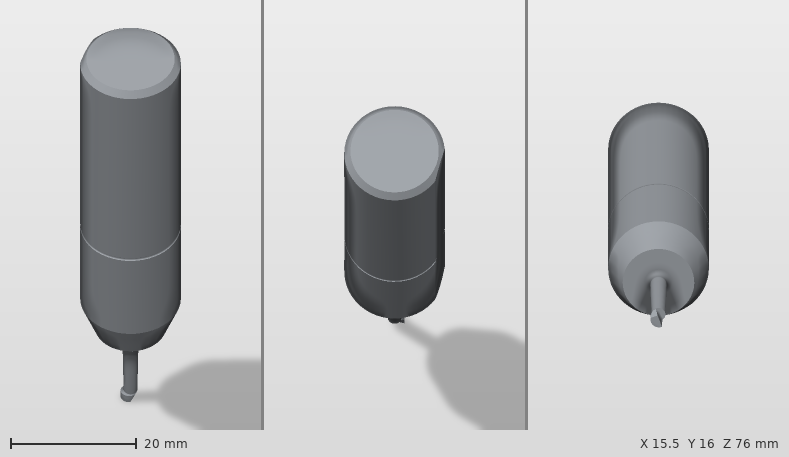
import cadquery as cq
import math

total_length = 76.0

body_diameter = 16.0
body_radius = body_diameter / 2
body_bottom = 15.9
cone_height = 6.2
cone_end_radius = 5.7
top_chamfer = 1.0
width_over_flat = 15.5
flat_offset = width_over_flat - body_radius

groove_height = 38.8
groove_radius = 0.28

neck_top_diameter = 2.65
neck_end_diameter = 2.2
neck_top_radius = neck_top_diameter / 2
neck_end_radius = neck_end_diameter / 2
neck_bottom = 1.6
neck_fillet = 0.8

tip_radius = 1.4
tip_offset = -0.2
tip_shoulder = 0.3
relief_bottom_x = 0.45
relief_top_x = tip_offset + tip_radius
tip_root_fillet = 0.2
joint_overlap = 0.1

arc_mid_inset = 1 - math.sqrt(0.5)


def make_holder():
    """Turned body, coned at the bottom and chamfered at the top, with one long flat."""
    profile = (
        cq.Workplane("XZ")
        .moveTo(0, body_bottom)
        .lineTo(cone_end_radius, body_bottom)
        .lineTo(body_radius, body_bottom + cone_height)
        .lineTo(body_radius, total_length - top_chamfer)
        .lineTo(body_radius - top_chamfer, total_length)
        .lineTo(0, total_length)
        .close()
    )
    body = profile.revolve(360, (0, 0, 0), (0, 1, 0))
    groove = cq.Workplane("XY").add(
        cq.Solid.makeTorus(body_radius, groove_radius, cq.Vector(0, 0, groove_height))
    )
    flat_cutter = cq.Workplane("XY").box(
        body_radius, 2 * body_radius, total_length, centered=(False, True, False)
    ).translate((-flat_offset - body_radius, 0, 0))
    return body.cut(groove).cut(flat_cutter)


def make_neck():
    """Tapered neck that flares into the body through a concave quarter round."""
    flare_start = body_bottom - neck_fillet
    flare_radius = neck_top_radius + neck_fillet
    quarter_reach = neck_fillet * arc_mid_inset
    return (
        cq.Workplane("XZ")
        .moveTo(0, neck_bottom)
        .lineTo(neck_end_radius, neck_bottom)
        .lineTo(neck_top_radius, flare_start)
        .threePointArc(
            (neck_top_radius + quarter_reach, body_bottom - quarter_reach),
            (flare_radius, body_bottom),
        )
        .lineTo(flare_radius, body_bottom + joint_overlap)
        .lineTo(0, body_bottom + joint_overlap)
        .close()
        .revolve(360, (0, 0, 0), (0, 1, 0))
    )


def make_tip():
    """Half cylinder on the -Y side, with a conical shoulder and a sloped relief on +X."""
    tip_top = neck_bottom + joint_overlap
    cylinder = (
        cq.Workplane("XY")
        .center(tip_offset, 0)
        .circle(tip_radius)
        .extrude(tip_top)
        .faces(">Z")
        .chamfer(tip_shoulder)
    )
    root_reach = tip_root_fillet * arc_mid_inset
    half = (
        cq.Workplane("YZ")
        .moveTo(-2 * tip_radius, 0)
        .lineTo(0, 0)
        .lineTo(0, neck_bottom - tip_root_fillet)
        .threePointArc((root_reach, neck_bottom - root_reach), (tip_root_fillet, neck_bottom))
        .lineTo(tip_root_fillet, tip_top)
        .lineTo(-2 * tip_radius, tip_top)
        .close()
        .extrude(2 * tip_radius, both=True)
    )
    relief = (
        cq.Workplane("XZ")
        .moveTo(relief_bottom_x, 0)
        .lineTo(relief_top_x, neck_bottom)
        .lineTo(2 * tip_radius, neck_bottom)
        .lineTo(2 * tip_radius, 0)
        .close()
        .extrude(2 * tip_radius, both=True)
    )
    return cylinder.intersect(half).cut(relief)


result = make_holder().union(make_neck()).union(make_tip())